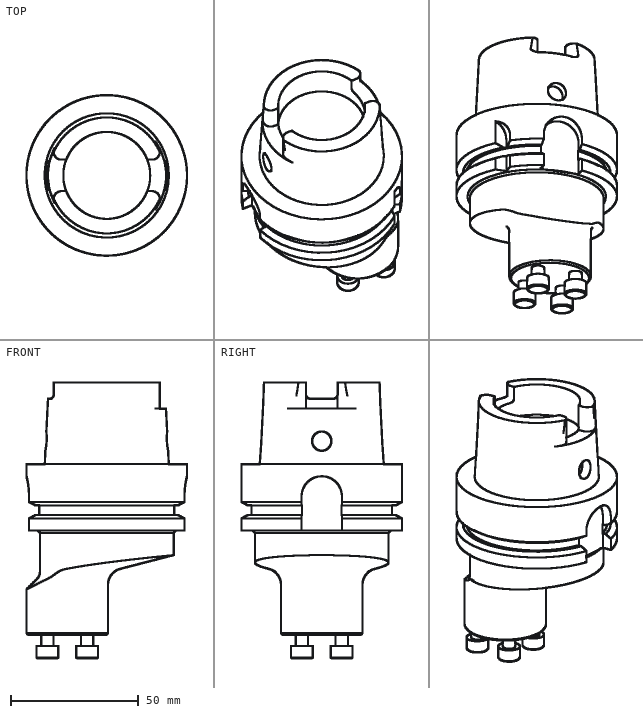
import cadquery as cq
import math

overall_height = 108.2


shank_top = 32.0
shank_base_radius = 24.3
shank_top_radius = 22.7

mouth_radius = 34.1 / 2
chamber_radius = 40 / 2
chamber_top = 19.3
chamber_bottom = 6.2
bore_floor = -11.4
floor_draft = 9
floor_fillet = 1.8
cross_hole_diameter = 7.5
cross_hole_height = 9.0

notch_width = 12.3
notch_lip_radius = 3.0
notch_lip_distance = 23.0
left_notch_floor = 25.6
right_notch_floor = 21.8
notch_floor_fillet = 1.5

flange_radius = 63.0 / 2
flange_bottom = -26.1
gripper_radius = 27.6
gripper_lip_radius = 29.0
gripper_upper_edge = -14.8
gripper_lower_edge = -21.3
gripper_lip_height = 1.4

keyway_radius = 7.9
keyway_top = -4.8
keyway_floor_x = 26.5
side_key_floor_x = 20.0
side_key_y = 27.7

neck_radius = 52.5 / 2
neck_chamfer = 0.9
neck_end = -42.2
flare_angle = 45
flare_fillet = 4.0

spigot_radius = 32.0 / 2
spigot_x = spigot_radius - flange_radius
spigot_bottom = -67.0
spigot_chamfer = 0.8
shoulder_angle = 14.5
shoulder_fillet = 6.3
shoulder_fillet_start = -47.2

overrun = 2.2

screw_pitch = 15.6
screw_shaft_diameter = 5.0
screw_head_diameter = 8.5
screw_bottom = shank_top - overall_height
screw_head_height = 5.0
screw_head_chamfer = 0.4


def shank_and_flange():
    upper_lip = gripper_upper_edge - gripper_lip_height
    lower_lip = gripper_lower_edge + gripper_lip_height
    return (
        cq.Workplane("XZ")
        .moveTo(0, shank_top)
        .lineTo(shank_top_radius, shank_top)
        .lineTo(shank_base_radius, 0)
        .lineTo(flange_radius, 0)
        .lineTo(flange_radius, gripper_upper_edge)
        .lineTo(gripper_lip_radius, upper_lip)
        .lineTo(gripper_radius, upper_lip)
        .lineTo(gripper_radius, lower_lip)
        .lineTo(gripper_lip_radius, lower_lip)
        .lineTo(flange_radius, gripper_lower_edge)
        .lineTo(flange_radius, flange_bottom)
        .lineTo(0, flange_bottom)
        .close()
        .revolve(360, (0, 0), (0, 1))
    )


def neck_profile_solid():
    """Neck about the tool axis, flaring out at its lower end to meet the spigot."""
    flare = math.radians(flare_angle)
    arc_center_radius = neck_radius + flare_fillet
    cone_start_radius = arc_center_radius - flare_fillet * math.cos(flare)
    cone_start = neck_end - flare_fillet * math.sin(flare)
    arc_mid_radius = arc_center_radius - flare_fillet * math.cos(flare / 2)
    arc_mid = neck_end - flare_fillet * math.sin(flare / 2)
    rim_radius = flange_radius + overrun
    rim = cone_start - (rim_radius - cone_start_radius) / math.tan(flare)
    return (
        cq.Workplane("XZ")
        .moveTo(0, flange_bottom)
        .lineTo(neck_radius + neck_chamfer, flange_bottom)
        .lineTo(neck_radius, flange_bottom - neck_chamfer)
        .lineTo(neck_radius, neck_end)
        .threePointArc((arc_mid_radius, arc_mid), (cone_start_radius, cone_start))
        .lineTo(rim_radius, rim)
        .lineTo(rim_radius, spigot_bottom)
        .lineTo(0, spigot_bottom)
        .close()
        .revolve(360, (0, 0), (0, 1))
    )


def spigot_profile_solid():
    """Spigot about its own axis, widening upward through a fillet into a shallow cone."""
    slope = math.radians(shoulder_angle)
    arc_center_radius = spigot_radius + shoulder_fillet
    sweep = math.pi / 2 - slope
    arc_end_radius = arc_center_radius - shoulder_fillet * math.cos(sweep)
    arc_end = shoulder_fillet_start + shoulder_fillet * math.sin(sweep)
    arc_mid_radius = arc_center_radius - shoulder_fillet * math.cos(sweep / 2)
    arc_mid = shoulder_fillet_start + shoulder_fillet * math.sin(sweep / 2)
    rim_radius = neck_radius - spigot_x + overrun
    rim = arc_end + (rim_radius - arc_end_radius) * math.tan(slope)
    return (
        cq.Workplane("XZ")
        .moveTo(0, spigot_bottom)
        .lineTo(spigot_radius - spigot_chamfer, spigot_bottom)
        .lineTo(spigot_radius, spigot_bottom + spigot_chamfer)
        .lineTo(spigot_radius, shoulder_fillet_start)
        .threePointArc((arc_mid_radius, arc_mid), (arc_end_radius, arc_end))
        .lineTo(rim_radius, rim)
        .lineTo(rim_radius, flange_bottom)
        .lineTo(0, flange_bottom)
        .close()
        .revolve(360, (0, 0), (0, 1))
        .translate((spigot_x, 0, 0))
    )


def bore():
    taper_depth = chamber_bottom - bore_floor
    floor_radius = chamber_radius - taper_depth * math.tan(math.radians(floor_draft))
    return (
        cq.Workplane("XZ")
        .moveTo(0, shank_top)
        .lineTo(mouth_radius, shank_top)
        .lineTo(mouth_radius, chamber_top)
        .lineTo(chamber_radius, chamber_top)
        .lineTo(chamber_radius, chamber_bottom)
        .lineTo(floor_radius, bore_floor)
        .lineTo(0, bore_floor)
        .close()
        .revolve(360, (0, 0), (0, 1))
        .faces("<Z")
        .edges()
        .fillet(floor_fillet)
    )


def cross_hole():
    return (
        cq.Workplane("YZ")
        .center(0, cross_hole_height)
        .circle(cross_hole_diameter / 2)
        .extrude(shank_base_radius, both=True)
    )


def notch(floor):
    """Rim notch toward +X whose walls turn outward along rounded lips into tangent flats."""
    wall = notch_width / 2
    lip_y = wall + notch_lip_radius
    lip_x = math.sqrt((notch_lip_distance - notch_lip_radius) ** 2 - lip_y**2)
    end_angle = math.atan2(lip_y, lip_x)
    mid_angle = (end_angle - math.pi / 2) / 2
    far_x = shank_base_radius + overrun
    flat_length = notch_width

    def lip_point(angle):
        return (lip_x + notch_lip_radius * math.cos(angle), lip_y + notch_lip_radius * math.sin(angle))

    lip_end = lip_point(end_angle)
    flat_end = (
        lip_end[0] - flat_length * math.sin(end_angle),
        lip_end[1] + flat_length * math.cos(end_angle),
    )
    half = (
        cq.Workplane("XY", origin=(0, 0, floor))
        .lineTo(0, wall)
        .lineTo(lip_x, wall)
        .threePointArc(lip_point(mid_angle), lip_end)
        .lineTo(*flat_end)
        .lineTo(far_x, flat_end[1])
        .lineTo(far_x, 0)
        .close()
        .extrude(shank_top + overrun - floor)
    )
    return half.union(half.mirror("XZ"))


def keyway(floor_x, center_y):
    """Round-topped keyway in the -X side, open at the flange underside."""
    center_z = keyway_top - keyway_radius
    length = center_z - flange_bottom
    plane = cq.Workplane("YZ", origin=(-floor_x, center_y, center_z))
    round_top = plane.circle(keyway_radius).extrude(-flange_radius)
    straight = plane.center(0, -length / 2).rect(2 * keyway_radius, length).extrude(-flange_radius)
    return round_top.union(straight)


def screws():
    head_top = screw_bottom + screw_head_height
    places = cq.Workplane("XY", origin=(spigot_x, 0, screw_bottom)).rect(
        screw_pitch, screw_pitch, forConstruction=True
    )
    heads = (
        places.vertices()
        .circle(screw_head_diameter / 2)
        .extrude(screw_head_height)
        .faces("<Z")
        .chamfer(screw_head_chamfer)
    )
    shafts = (
        cq.Workplane("XY", origin=(spigot_x, 0, head_top))
        .rect(screw_pitch, screw_pitch, forConstruction=True)
        .vertices()
        .circle(screw_shaft_diameter / 2)
        .extrude(spigot_bottom - head_top)
    )
    return heads.union(shafts)


right_notch = notch(right_notch_floor)
left_notch = notch(left_notch_floor).faces("<Z").edges().fillet(notch_floor_fillet)
left_notch = left_notch.rotate((0, 0, 0), (0, 0, 1), 180)

left_keyway = keyway(keyway_floor_x, 0)
right_keyway = left_keyway.mirror("YZ")
side_keyway = keyway(side_key_floor_x, side_key_y)

head = shank_and_flange().cut(left_keyway).cut(right_keyway).cut(side_keyway)
lower_body = neck_profile_solid().intersect(spigot_profile_solid()).cut(left_keyway).cut(right_keyway)

result = (
    head.union(lower_body)
    .cut(bore())
    .cut(cross_hole())
    .cut(left_notch)
    .cut(right_notch)
    .union(screws())
)